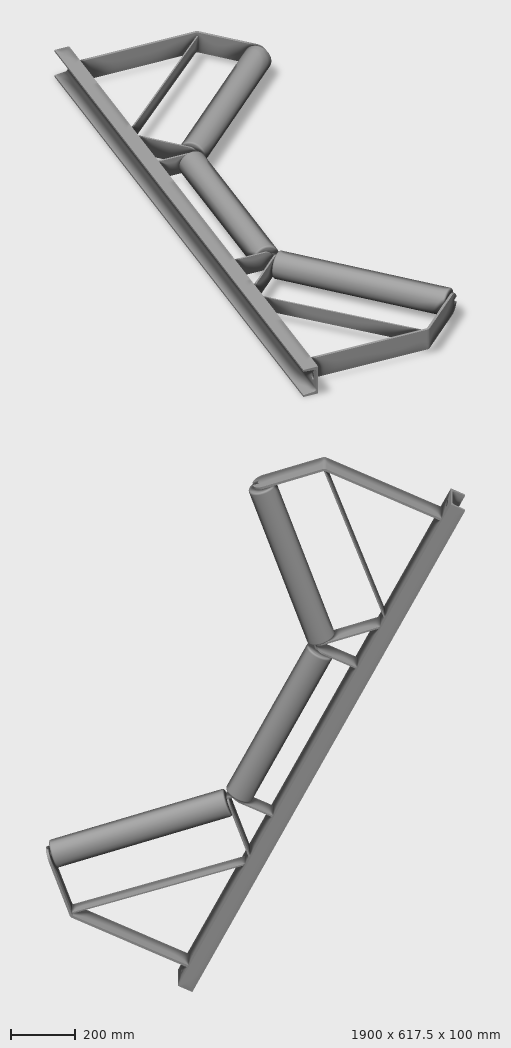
import cadquery as cq
import math


channel_length = 1900.0
channel_height = 100.0
channel_depth = 50.0
web_thickness = 5.0
flange_edge_thickness = 6.6
flange_root_thickness = 10.5
flange_root_radius = 8.0
mount_slot_inset = 28.0
mount_slot_width = 17.0
mount_slot_height = 28.0

roller_diameter = 90.0
roller_length = 568.0
roller_edge_radius = 5.0
axle_diameter = 17.0
center_roller_y = 170.0
wing_angle = 45.0
wing_inner_x = 325.0
wing_inner_y = 186.0

tip_flat = 2.0
tip_past_axle = 27.0
inner_strip_width = 65.0
inner_strip_thickness = 5.0
center_end_gap = 5.0
wing_inner_gap = 4.0
tab_width = 38.0
outer_strip_width = 75.0
outer_strip_thickness = 8.0
outer_bend_radius = 8.0
wing_outer_gap = 8.0
outer_leg_x = 885.0

brace_width = 50.0
brace_thickness = 4.8
brace_foot_x = 485.0
brace_head_y = 455.0

roller_radius = roller_diameter / 2
axle_radius = axle_diameter / 2
wing_cos = math.cos(math.radians(wing_angle))
wing_sin = math.sin(math.radians(wing_angle))
sides = (1, -1)


def wing_point(along, across):
    """Point on the +X side, measured along the wing roller's axis and square to it (positive = upward)."""
    return (
        wing_inner_x + along * wing_cos - across * wing_sin,
        wing_inner_y + along * wing_sin + across * wing_cos,
    )


def wing_line_at_y(along, y):
    """X where the line square to the wing axis at a given distance meets a given Y."""
    start = wing_point(along, 0)
    return start[0] - (y - start[1]) * wing_sin / wing_cos


def wing_line_at_x(along, x):
    """Y where the line square to the wing axis at a given distance meets a given X."""
    start = wing_point(along, 0)
    return start[1] - (x - start[0]) * wing_cos / wing_sin


def axis_line_at_x(across, x):
    """Y where the line parallel to the wing axis at a given offset meets a given X."""
    start = wing_point(0, across)
    return start[1] + (x - start[0]) * wing_sin / wing_cos


def on_side(body, side):
    """Keep a +X body or mirror it to the -X side."""
    return body if side > 0 else body.mirror("YZ")


def strip(points, width):
    """Flat bar with the given XY outline, centred on Z = 0."""
    return cq.Workplane("XY").polyline(points).close().extrude(width / 2, both=True)


def nearest(point):
    """Selector for the one edge whose middle is nearest to a point."""
    return cq.selectors.NearestToPointSelector(point)


def round_tip(leg, tip_middle, width):
    """Round the two tip corners of a leg; they lie either side of the tip's middle in Z."""
    half_width = width / 2
    for side in sides:
        leg = leg.edges(nearest((*tip_middle, side * half_width))).fillet(half_width - tip_flat / 2)
    return leg


def wing_plane(along):
    """Plane square to the wing axis: local x up the plate, normal pointing outward along the axis."""
    return cq.Plane(
        origin=(*wing_point(along, 0), 0), xDir=(-wing_sin, wing_cos, 0), normal=(wing_cos, wing_sin, 0)
    )


def make_channel():
    """Channel with tapered flanges, open towards -Y, with an upright slot through the web at each end."""
    half_height = channel_height / 2
    edge_z = half_height - flange_edge_thickness
    root_z = half_height - flange_root_thickness
    web_face_y = channel_depth - web_thickness
    channel = (
        cq.Workplane("YZ")
        .polyline([
            (channel_depth, -half_height),
            (channel_depth, half_height),
            (0, half_height),
            (0, edge_z),
            (web_face_y, root_z),
            (web_face_y, -root_z),
            (0, -edge_z),
            (0, -half_height),
        ])
        .close()
        .extrude(channel_length / 2, both=True)
    )
    for side in sides:
        channel = channel.edges("|X").edges(nearest((0, web_face_y, side * root_z))).fillet(flange_root_radius)
    slot_x = channel_length / 2 - mount_slot_inset
    slots = (
        cq.Workplane("XZ")
        .pushPoints([(-slot_x, 0), (slot_x, 0)])
        .slot2D(mount_slot_height, mount_slot_width, 90)
        .extrude(-channel_depth)
    )
    return channel.cut(slots)


def make_roller(inner_axle, outer_axle):
    """Roller from the origin along +Z, with its axle reaching past each end."""
    drum = cq.Workplane("XY").circle(roller_radius).extrude(roller_length).edges().fillet(roller_edge_radius)
    axle = (
        cq.Workplane("XY", origin=(0, 0, -inner_axle))
        .circle(axle_radius)
        .extrude(inner_axle + roller_length + outer_axle)
    )
    return drum.union(axle)


def make_center_roller():
    """Level roller whose axle ends flush with the upright legs."""
    axle_reach = center_end_gap + inner_strip_thickness
    plane = cq.Plane(origin=(-roller_length / 2, center_roller_y, 0), xDir=(0, 0, 1), normal=(1, 0, 0))
    return cq.Workplane(make_roller(axle_reach, axle_reach).val().moved(cq.Location(plane)))


def make_wing_roller():
    """Sloped roller on the +X side whose axle ends flush with its two brackets."""
    roller = make_roller(wing_inner_gap + inner_strip_thickness, wing_outer_gap + outer_strip_thickness)
    return cq.Workplane(roller.val().moved(cq.Location(wing_plane(0))))


def make_inner_bracket():
    """Bent strip: upright leg for the centre roller, narrow tab, sloped leg for the wing roller."""
    upright_face = roller_length / 2 + center_end_gap
    upright_back = upright_face + inner_strip_thickness
    slope_face = -wing_inner_gap
    slope_back = slope_face - inner_strip_thickness
    tab_top = tip_past_axle
    tab_under = tab_top - inner_strip_thickness
    corner_y = axis_line_at_x(tab_top, upright_face)
    upright = strip([
        (upright_face, channel_depth),
        (upright_face, corner_y),
        (upright_back, corner_y),
        (upright_back, channel_depth),
    ], inner_strip_width)
    upright = round_tip(upright, (upright_face + inner_strip_thickness / 2, corner_y), inner_strip_width)
    slope = strip([
        wing_point(slope_face, tab_top),
        (wing_line_at_y(slope_face, channel_depth), channel_depth),
        (wing_line_at_y(slope_back, channel_depth), channel_depth),
        wing_point(slope_back, tab_top),
    ], inner_strip_width)
    slope = round_tip(slope, wing_point(slope_face - inner_strip_thickness / 2, tab_top), inner_strip_width)
    tab = strip([
        (upright_face, corner_y),
        wing_point(slope_face, tab_top),
        wing_point(slope_face, tab_under),
        (upright_back, axis_line_at_x(tab_under, upright_back)),
        (upright_face, axis_line_at_x(tab_under, upright_face)),
    ], tab_width)
    center_hole = (
        cq.Workplane("YZ", origin=(upright_face, center_roller_y, 0))
        .circle(axle_radius)
        .extrude(inner_strip_thickness)
    )
    wing_hole = cq.Workplane(wing_plane(slope_back)).circle(axle_radius).extrude(inner_strip_thickness)
    return upright.union(tab).union(slope).cut(center_hole).cut(wing_hole)


def make_outer_bracket():
    """Bent strip: upright leg and a sloped leg with a round tip, slotted for the wing roller's axle."""
    upright_inside = outer_leg_x - outer_strip_thickness
    slope_face = roller_length + wing_outer_gap
    slope_back = slope_face + outer_strip_thickness
    bend_outside = (outer_leg_x, wing_line_at_x(slope_back, outer_leg_x))
    bend_inside = (upright_inside, wing_line_at_x(slope_face, upright_inside))
    bracket = strip([
        (outer_leg_x, channel_depth),
        bend_outside,
        wing_point(slope_back, tip_past_axle),
        wing_point(slope_face, tip_past_axle),
        bend_inside,
        (upright_inside, channel_depth),
    ], outer_strip_width)
    bracket = bracket.edges("|Z").edges(nearest((*bend_inside, 0))).fillet(outer_bend_radius)
    bracket = (
        bracket.edges("|Z")
        .edges(nearest((*bend_outside, 0)))
        .fillet(outer_bend_radius + outer_strip_thickness)
    )
    tip_middle = wing_point(slope_face + outer_strip_thickness / 2, tip_past_axle)
    bracket = round_tip(bracket, tip_middle, outer_strip_width)
    axle_hole = cq.Workplane(wing_plane(slope_face)).circle(axle_radius).extrude(outer_strip_thickness)
    slot_mouth = (
        cq.Workplane(wing_plane(slope_face))
        .center(tip_past_axle / 2, 0)
        .rect(tip_past_axle, axle_diameter)
        .extrude(outer_strip_thickness)
    )
    return bracket.cut(axle_hole).cut(slot_mouth)


def make_brace(outer_bracket):
    """Straight strip from the channel up to the outer bracket's bend, trimmed to fit against the bend."""
    head_x = outer_leg_x - outer_strip_thickness
    slope = math.atan2(brace_head_y - channel_depth, head_x - brace_foot_x)
    brace = strip([
        (brace_foot_x, channel_depth),
        (head_x, brace_head_y),
        (head_x, brace_head_y - brace_thickness / math.cos(slope)),
        (brace_foot_x + brace_thickness / math.sin(slope), channel_depth),
    ], brace_width)
    return brace.cut(outer_bracket)


channel = make_channel()
center_roller = make_center_roller()
wing_rollers = [on_side(make_wing_roller(), side) for side in sides]
inner_brackets = [on_side(make_inner_bracket(), side) for side in sides]
outer_bracket = make_outer_bracket()
outer_brackets = [on_side(outer_bracket, side) for side in sides]
braces = [on_side(make_brace(outer_bracket), side) for side in sides]

paired_bodies = wing_rollers + inner_brackets + outer_brackets + braces
result = cq.Compound.makeCompound(
    [channel.val(), center_roller.val(), *[body.val() for body in paired_bodies]]
)